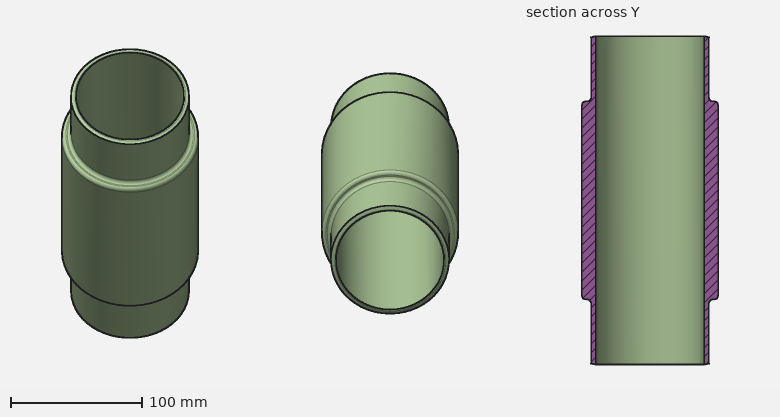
import cadquery as cq

length = 250.0
body_diameter = 104.0
neck_diameter = 90.0
bore_diameter = 82.2
neck_length = 49.5

body_edge_radius = 3.0
neck_root_radius = 3.0
end_bevel_width = 2.8
end_bevel_height = 0.8

half_length = length / 2
shoulder_height = half_length - neck_length
body_edge_height = shoulder_height - body_edge_radius
neck_root_height = shoulder_height + neck_root_radius
bevel_height = half_length - end_bevel_height

body_radius = body_diameter / 2
neck_radius = neck_diameter / 2
bore_radius = bore_diameter / 2
shoulder_outer_radius = body_radius - body_edge_radius
shoulder_inner_radius = neck_radius + neck_root_radius
end_face_radius = neck_radius - end_bevel_width

wall_section = (
    cq.Workplane("XZ")
    .moveTo(bore_radius, -half_length)
    .lineTo(end_face_radius, -half_length)
    .lineTo(neck_radius, -bevel_height)
    .lineTo(neck_radius, -neck_root_height)
    .radiusArc((shoulder_inner_radius, -shoulder_height), neck_root_radius)
    .lineTo(shoulder_outer_radius, -shoulder_height)
    .radiusArc((body_radius, -body_edge_height), -body_edge_radius)
    .lineTo(body_radius, body_edge_height)
    .radiusArc((shoulder_outer_radius, shoulder_height), -body_edge_radius)
    .lineTo(shoulder_inner_radius, shoulder_height)
    .radiusArc((neck_radius, neck_root_height), neck_root_radius)
    .lineTo(neck_radius, bevel_height)
    .lineTo(end_face_radius, half_length)
    .lineTo(bore_radius, half_length)
    .close()
)

result = wall_section.revolve(360, (0, 0, 0), (0, 1, 0))